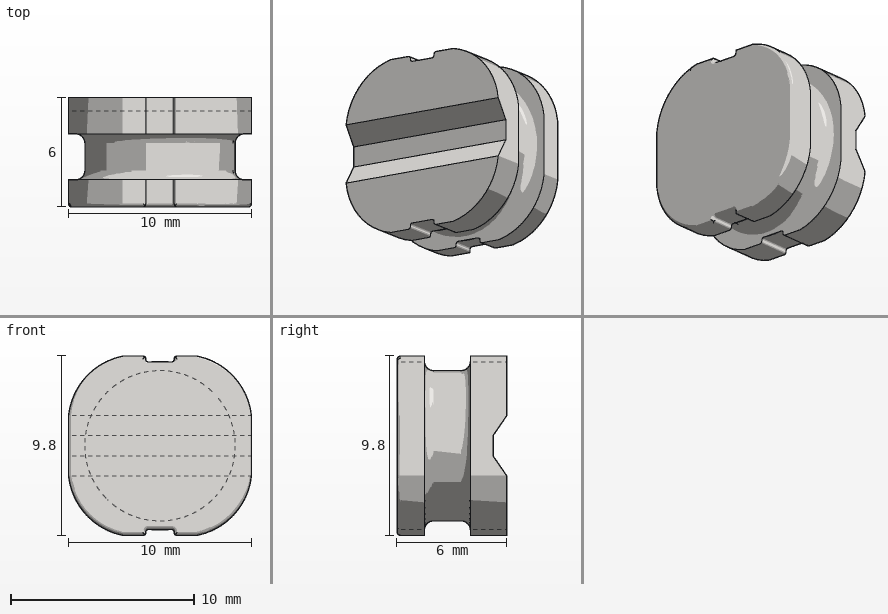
import cadquery as cq
import math

width = 10.0
height = 9.8
depth = 6.0

front_thickness = 1.5
back_thickness = 2.0
side_flat_length = 3.3
end_flat_length = 4.08
corner_reach = 5.52
front_edge_radius = 0.2

notch_width = 1.55
notch_depth = 0.32
notch_radius = 0.14

core_diameter = 8.22
core_fillet = 0.5

channel_depth = 0.74
channel_floor_width = 1.14


def plain_flange(y_start, thickness):
    """Rounded-square plate extruded toward +Y, without notches."""
    x = width / 2
    z = height / 2
    side = side_flat_length / 2
    end = end_flat_length / 2
    mid = corner_reach / math.sqrt(2)
    return (
        cq.Workplane("XZ", origin=(0, y_start, 0))
        .moveTo(x, -side)
        .lineTo(x, side)
        .threePointArc((mid, mid), (end, z))
        .lineTo(-end, z)
        .threePointArc((-mid, mid), (-x, side))
        .lineTo(-x, -side)
        .threePointArc((-mid, -mid), (-end, -z))
        .lineTo(end, -z)
        .threePointArc((mid, -mid), (x, -side))
        .close()
        .extrude(-thickness)
    )

def notch_void(y_start, thickness):
    """Two rectangular bars that cut the top and bottom notches."""
    return (
        cq.Workplane("XZ", origin=(0, y_start, 0))
        .pushPoints([(0, height / 2), (0, -height / 2)])
        .rect(notch_width, 2 * notch_depth)
        .extrude(-thickness)
    )


def notched_flange(y_start, thickness):
    """Flange whose notch corners, inner and outer, are all rounded."""
    reach_x = notch_width / 2 + notch_radius
    corners = cq.selectors.BoxSelector(
        (-reach_x, y_start - depth, -height),
        (reach_x, y_start + depth, height),
    )
    return (
        plain_flange(y_start, thickness)
        .cut(notch_void(y_start, thickness))
        .edges("|Y")
        .edges(corners)
        .fillet(notch_radius)
    )


def flared_notch_void():
    """Notch bars that widen toward the front, leaving a rounded front edge."""
    block_width = notch_width + 4 * front_edge_radius
    block_height = height + 2 * notch_depth
    block = (
        cq.Workplane("XZ")
        .rect(block_width, block_height)
        .extrude(-front_thickness)
    )
    slot_height = 4 * notch_depth
    slots = (
        cq.Workplane("XZ")
        .pushPoints([(0, height / 2 + notch_depth), (0, -height / 2 - notch_depth)])
        .rect(notch_width, slot_height)
        .extrude(-front_thickness)
        .edges("|Y")
        .fillet(notch_radius)
    )
    reach_x = notch_width / 2 + notch_radius
    slot_edges = cq.selectors.BoxSelector((-reach_x, -depth, -height), (reach_x, depth, height))
    rounded = block.cut(slots).faces("<Y").edges(slot_edges).fillet(front_edge_radius)
    return block.cut(rounded)


def front_flange():
    """Notched flange with its whole front edge rounded, notches included."""
    rounded_plate = plain_flange(0, front_thickness).faces("<Y").edges().fillet(front_edge_radius)
    return (
        rounded_plate
        .intersect(notched_flange(0, front_thickness))
        .cut(flared_notch_void())
    )


def core():
    """Cylinder joining the flanges, flared by a fillet at both ends."""
    radius = core_diameter / 2
    flare_radius = radius + core_fillet
    y_front = front_thickness
    y_back = depth - back_thickness
    arc_offset = core_fillet * (1 - math.sqrt(0.5))
    return (
        cq.Workplane("XY")
        .moveTo(0, y_front)
        .lineTo(flare_radius, y_front)
        .threePointArc((radius + arc_offset, y_front + arc_offset), (radius, y_front + core_fillet))
        .lineTo(radius, y_back - core_fillet)
        .threePointArc((radius + arc_offset, y_back - arc_offset), (flare_radius, y_back))
        .lineTo(0, y_back)
        .close()
        .revolve(360, (0, 0, 0), (0, 1, 0))
    )


def back_channel():
    """Trapezoidal cutter running along X through the back flange."""
    mouth = side_flat_length / 2
    floor = channel_floor_width / 2
    return (
        cq.Workplane("YZ")
        .polyline([
            (depth, -mouth),
            (depth - channel_depth, -floor),
            (depth - channel_depth, floor),
            (depth, mouth),
        ])
        .close()
        .extrude(width / 2, both=True)
    )


back_flange = notched_flange(depth - back_thickness, back_thickness).cut(back_channel())

result = front_flange().union(core()).union(back_flange)